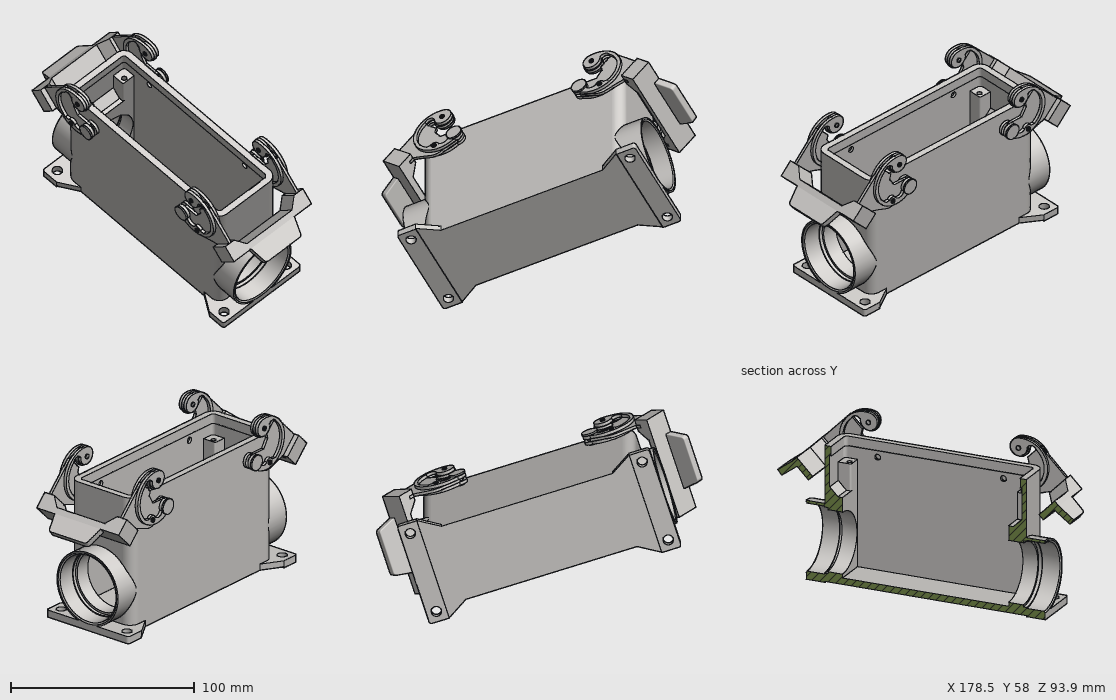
import cadquery as cq
import math

total_length = 178.49
total_height = 93.94
body_length = 121.5
body_width = 43.6
body_bottom = 0.6
body_top = 80.2
body_corner_radius = 6.0
wall = 3.9
floor_thickness = 4.0
cavity_corner_radius = 2.0
lip_bottom = 74.5
lip_overhang = 0.9
mouth_half_length = body_length / 2 - wall
mouth_half_width = body_width / 2 - wall
chamber_half_length = mouth_half_length + lip_overhang
chamber_half_width = mouth_half_width + lip_overhang

inner_block_x = 50.0
ledge_z = 51.5
ramp_inner_x = 52.8
boss_inner_y = 10.6
boss_top = 67.2
boss_corner_radius = 1.0
boss_hole_x = 52.4
boss_hole_y = 13.7
boss_hole_diameter = 2.8
boss_hole_depth = 12.0

collar_end_x = 72.0
collar_z = 24.8
collar_radius = 21.6
bore_radius = 18.0
counterbore_radius = 19.7
counterbore_depth = 11.0
seat_radius = 19.2
seat_depth = 13.0
collar_chamfer_length = 0.5
collar_chamfer_height = 1.0

foot_width = 58.0
foot_thickness = 4.3
gusset_tip_x = 49.0
foot_corner_radius = 1.5
foot_hole_x = 66.3
foot_hole_y = 23.2
foot_hole_diameter = 5.6

arm_inner_y = 22.7
arm_outer_y = 27.8
middle_inner_y = 24.4
middle_outer_y = 26.0
rivet_overhang = 0.6
rivet_radius = 1.3
rivet_dimple_radius = 0.7
rivet_dimple_depth = 0.4

hook_radius = 15.5
hook_inner_radius = 13.4
hook_center = (-47.2, total_height - hook_radius)
hook_tip = (-45.1, 88.6)
hook_tip_radius = hook_radius - math.dist(hook_center, hook_tip)
roller = (-45.2, 88.2)
roller_radius = 5.6
pivot = (-37.9, 70.4)
pivot_plate_radius = 4.3
pivot_head_radius = 4.5
pivot_head_thickness = 0.9
pivot_post_radius = 2.35
pivot_post_embed = 1.0
pivot_hole_radius = 1.7
pivot_hole_depth = 1.5
lower_rivet = (-50.1, 66.3)
rivet_pad_radius = 2.6
hook_lower_angle = -50
hook_inner_lower_angle = -125
hook_inner_upper_angle = 129
hook_throat_top = (-52.9, 90.7)
pivot_neck = (-41.9, 68.8)
pivot_neck_low_point = (-45.2, 66.1)

plate_upper_edge = [(-75.4, 72.5), (-57.4, 90.5), (-49.8, 83.0), (-50.6, 80.0)]
plate_step_x = -47.2
plate_belly_arc = [(-44.9, 63.1), (-49.5, 61.2), (-54.1, 61.9)]
plate_lower_edge = [(-60.6, 64.2), (-63.7, 65.0), (-65.9, 62.9)]

bar_edge = (-80.4, 67.8)
bar_depth = 13.6
bar_leg_height = 9.8
bar_base_height = 3.8
bar_leg_inner_y = 22.4
bar_base_half_width = 16.8
grip_slope = math.radians(36)
grip_tip_x = -total_length / 2
grip_thickness = 4.0
grip_root_half_width = 16.2
grip_tip_half_width = 13.2
grip_overlap = 3.0
grip_corner_radius = 2.0
grip_lower_edge_radius = 0.6


def both_ends(shape):
    return shape.union(shape.mirror("YZ"))


def both_sides(shape):
    return shape.union(shape.mirror("XZ"))


def box(x0, x1, y0, y1, z0, z1):
    return cq.Workplane("XY").box(x1 - x0, y1 - y0, z1 - z0, centered=False).translate((x0, y0, z0))


def side_plane(y):
    """XZ sketch plane at y; a negative extrusion grows toward +Y."""
    return cq.Workplane("XZ", origin=(0, y, 0))


def disc(center, radius, y0, y1):
    return side_plane(y0).center(*center).circle(radius).extrude(y0 - y1)


def polar(center, radius, degrees):
    angle = math.radians(degrees)
    return (center[0] + radius * math.cos(angle), center[1] + radius * math.sin(angle))


def make_shell():
    height = body_top - body_bottom
    outer = cq.Workplane("XY").workplane(offset=body_bottom).rect(body_length, body_width).extrude(height)
    return outer.edges("|Z").fillet(body_corner_radius)


def make_cavity():
    floor_z = body_bottom + floor_thickness
    mouth = cavity_prism(mouth_half_length, mouth_half_width, floor_z, body_top)
    chamber = cavity_prism(chamber_half_length, chamber_half_width, floor_z, lip_bottom)
    return mouth.union(chamber).cut(both_ends(make_end_block()))


def cavity_prism(half_length, half_width, z0, z1):
    prism = box(-half_length, half_length, -half_width, half_width, z0, z1)
    return prism.edges("|Z").fillet(cavity_corner_radius)


def make_end_block():
    """Material left standing inside the cavity at the -X end."""
    wall_x = -body_length / 2
    ramp_rise = chamber_half_length - ramp_inner_x
    ledge = (
        side_plane(-body_width / 2)
        .polyline([
            (wall_x, body_bottom),
            (-inner_block_x, body_bottom),
            (-inner_block_x, ledge_z),
            (-ramp_inner_x, ledge_z),
            (-chamber_half_length, ledge_z + ramp_rise),
            (wall_x, ledge_z + ramp_rise),
        ])
        .close()
        .extrude(-body_width)
    )
    boss = box(wall_x, -inner_block_x, boss_inner_y, body_width / 2, body_bottom, boss_top)
    boss = boss.edges("|Z and >X and <Y").fillet(boss_corner_radius)
    hole = (
        cq.Workplane("XY", origin=(-boss_hole_x, boss_hole_y, boss_top))
        .circle(boss_hole_diameter / 2)
        .extrude(-boss_hole_depth)
    )
    return ledge.union(both_sides(boss)).cut(both_sides(hole))


def make_foot():
    gusset_x = body_length / 2
    half_width = foot_width / 2
    pad = box(-collar_end_x, -gusset_x, -half_width, half_width, 0, foot_thickness)
    pad = pad.edges("|Z and <X").fillet(foot_corner_radius)
    gusset = (
        cq.Workplane("XY", origin=(0, 0, body_bottom))
        .polyline([
            (-gusset_x, -half_width),
            (-gusset_tip_x, -body_width / 2),
            (-gusset_tip_x, body_width / 2),
            (-gusset_x, half_width),
        ])
        .close()
        .extrude(foot_thickness - body_bottom)
    )
    holes = (
        cq.Workplane("XY")
        .pushPoints([(-foot_hole_x, -foot_hole_y), (-foot_hole_x, foot_hole_y)])
        .circle(foot_hole_diameter / 2)
        .extrude(foot_thickness)
    )
    return pad.union(gusset).cut(holes)


def collar_cylinder(radius, length):
    return cq.Workplane("YZ", origin=(-collar_end_x, 0, collar_z)).circle(radius).extrude(length)


def make_collar():
    return collar_cylinder(collar_radius, collar_end_x - inner_block_x)


def make_collar_bore():
    bore = collar_cylinder(bore_radius, collar_end_x)
    counterbore = collar_cylinder(counterbore_radius, counterbore_depth)
    seat = collar_cylinder(seat_radius, seat_depth)
    mouth = cq.Workplane(
        cq.Solid.makeCone(
            counterbore_radius + collar_chamfer_height,
            counterbore_radius,
            collar_chamfer_length,
            pnt=cq.Vector(-collar_end_x, 0, collar_z),
            dir=cq.Vector(1, 0, 0),
        )
    )
    return bore.union(seat).union(counterbore).union(mouth)


def hook_outline(workplane):
    """C shape: outer arc from tip to pivot, then back around the rivet pad and the inner arc."""
    tip_angle = math.degrees(math.atan2(hook_tip[1] - hook_center[1], hook_tip[0] - hook_center[0]))
    pad_start, pad_top, pad_end = [polar(lower_rivet, rivet_pad_radius, a) for a in (20, 90, 150)]
    throat_end = polar(hook_tip, hook_tip_radius, 175)
    return (
        workplane.moveTo(*polar(hook_center, hook_radius, tip_angle))
        .threePointArc(
            polar(hook_center, hook_radius, 180), polar(hook_center, hook_radius, hook_lower_angle)
        )
        .lineTo(*pivot)
        .lineTo(*pivot_neck)
        .threePointArc(pivot_neck_low_point, pad_start)
        .threePointArc(pad_top, pad_end)
        .lineTo(*polar(hook_center, hook_inner_radius, hook_inner_lower_angle))
        .threePointArc(
            polar(hook_center, hook_inner_radius, 180),
            polar(hook_center, hook_inner_radius, hook_inner_upper_angle),
        )
        .threePointArc(hook_throat_top, throat_end)
        .lineTo(*hook_tip)
        .close()
    )


def make_hook_plate(y0, y1):
    plate = hook_outline(side_plane(y0)).extrude(y0 - y1)
    plate = plate.union(disc(hook_tip, hook_tip_radius, y0, y1))
    return plate.union(disc(pivot, pivot_plate_radius, y0, y1))


def make_middle_plate():
    step_z = pivot[1] + pivot_plate_radius
    belly_start, belly_middle, belly_end = plate_belly_arc
    outline = side_plane(middle_inner_y).polyline(plate_upper_edge)
    outline = outline.lineTo(plate_step_x, step_z).lineTo(pivot[0], step_z)
    outline = outline.lineTo(*polar(hook_center, hook_radius, hook_lower_angle))
    outline = outline.lineTo(*belly_start).threePointArc(belly_middle, belly_end)
    for corner in plate_lower_edge:
        outline = outline.lineTo(*corner)
    return outline.close().extrude(middle_inner_y - middle_outer_y)


def make_arm():
    arm = make_hook_plate(arm_inner_y, middle_inner_y)
    arm = arm.union(make_hook_plate(middle_outer_y, arm_outer_y))
    arm = arm.union(make_middle_plate())
    arm = arm.union(disc(roller, roller_radius, middle_inner_y, middle_outer_y))
    for rivet in (roller, lower_rivet):
        rivet_outer_y = arm_outer_y + rivet_overhang
        arm = arm.union(disc(rivet, rivet_radius, arm_inner_y - rivet_overhang, rivet_outer_y))
        arm = arm.cut(disc(rivet, rivet_dimple_radius, rivet_outer_y - rivet_dimple_depth, rivet_outer_y))
    head_y = foot_width / 2 - pivot_head_thickness
    arm = arm.union(disc(pivot, pivot_post_radius, body_width / 2 - pivot_post_embed, head_y))
    return arm.union(disc(pivot, pivot_head_radius, head_y, foot_width / 2))


def make_handle():
    half_width = foot_width / 2
    plane = cq.Plane(origin=(bar_edge[0], 0, bar_edge[1]), xDir=(0, 1, 0), normal=(1, 0, -1))
    bar = (
        cq.Workplane(plane)
        .polyline([
            (-half_width, 0),
            (half_width, 0),
            (half_width, bar_leg_height),
            (bar_leg_inner_y, bar_leg_height),
            (bar_base_half_width, bar_base_height),
            (-bar_base_half_width, bar_base_height),
            (-bar_leg_inner_y, bar_leg_height),
            (-half_width, bar_leg_height),
        ])
        .close()
        .extrude(bar_depth)
    )
    return bar.union(make_grip())


def make_grip():
    length = (bar_edge[0] - grip_tip_x) / math.cos(grip_slope)
    down = (math.sin(grip_slope), 0, -math.cos(grip_slope))
    plane = cq.Plane(origin=(bar_edge[0], 0, bar_edge[1]), xDir=(0, -1, 0), normal=down)
    grip = (
        cq.Workplane(plane)
        .polyline([
            (-grip_root_half_width, -grip_overlap),
            (grip_root_half_width, -grip_overlap),
            (grip_root_half_width, 0),
            (grip_tip_half_width, length),
            (-grip_tip_half_width, length),
            (-grip_root_half_width, 0),
        ])
        .close()
        .extrude(grip_thickness)
    )
    upright_edges = cq.selectors.ParallelDirSelector(cq.Vector(*down))
    lower_face = cq.selectors.DirectionMinMaxSelector(cq.Vector(*down), True)
    grip = grip.edges(upright_edges).edges("<X").fillet(grip_corner_radius)
    return grip.faces(lower_face).edges().fillet(grip_lower_edge_radius)


def make_pivot_hole():
    return disc(pivot, pivot_hole_radius, chamber_half_width, chamber_half_width + pivot_hole_depth)


housing = make_shell().union(both_ends(make_foot())).union(both_ends(make_collar()))
housing = housing.cut(make_cavity()).cut(both_ends(make_collar_bore()))
lever = both_sides(make_arm()).union(make_handle())
result = housing.union(both_ends(lever)).cut(both_ends(both_sides(make_pivot_hole())))